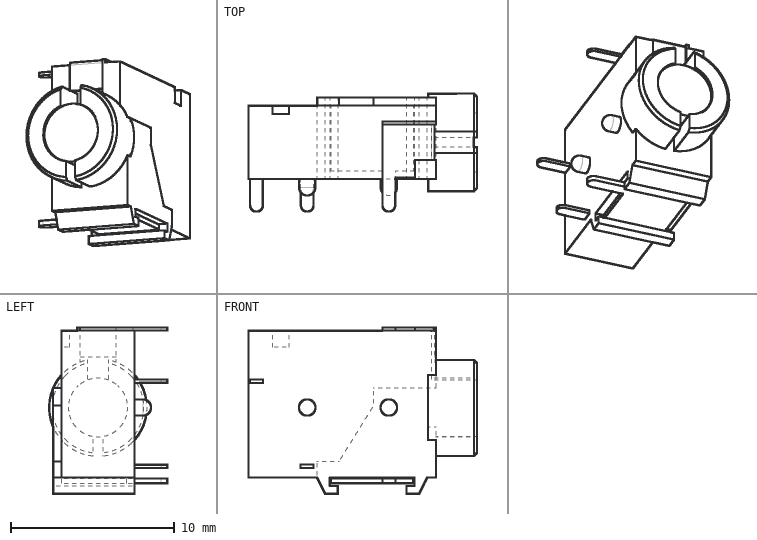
import cadquery as cq


HOUSING_LENGTH = 11.5
HOUSING_DEPTH = 4.5
HOUSING_HEIGHT = 9.0
AXIS_HEIGHT = 4.3
FRONT_Y = -HOUSING_DEPTH / 2
BACK_Y = HOUSING_DEPTH / 2
BOTTOM_Z = -AXIS_HEIGHT
TOP_Z = BOTTOM_Z + HOUSING_HEIGHT

TOTAL_LENGTH = 14.0
BARREL_LENGTH = 3.0
BARREL_RADIUS = 3.0
BARREL_START_X = TOTAL_LENGTH - BARREL_LENGTH
RIM_CHAMFER = 0.2
CORE_RADIUS = 1.8
CORE_RECESS = 0.2
TOP_SLOT_WIDTH = 1.3
BOTTOM_SLOT_WIDTH = 0.59

BACK_PLATE_THICKNESS = 0.5
BACK_PLATE_START_X = 4.2
BACK_PLATE_LOW_HEIGHT = 1.0
BACK_PLATE_SLOPE_START_X = 5.55
BACK_PLATE_SLOPE_END_X = 7.67
BACK_PLATE_SLOPE_TOP = 4.42
BACK_PLATE_HEIGHT = 5.5

TOP_NOTCH_START_X = 1.48
TOP_NOTCH_WIDTH = 1.0
TOP_NOTCH_DEPTH = 0.5
TOP_NOTCH_HEIGHT = 1.0

HOOK_CENTRE_X = 7.57
HOOK_DROP = 1.0
HOOK_SLOT_HEIGHT = 0.5
HOOK_SLOT_HALF = 2.59
HOOK_LIP_HALF = 2.1
HOOK_ROOT_HALF = HOOK_CENTRE_X - BACK_PLATE_START_X
HOOK_TIP_HALF = 2.88

PRONG_WIDTH = 0.8
PRONG_LENGTH = 2.0
PRONG_THICKNESS = 0.21
PRONG_TIP_Y = FRONT_Y - PRONG_LENGTH
END_PRONG_X = 0.49
END_PRONG_HEIGHT = 5.81
PEG_X = 3.6
PEG_PITCH = 5.0
PEG_RADIUS = 0.5
PEG_STRAIGHT = 0.5
LOW_PRONG_HEIGHT = 0.59
CONTACT_PRONG_X = PEG_X + PEG_PITCH

RIB_HEIGHT = 0.21
RIB_WIDTH = 0.18
UPPER_THICKNESS = 0.2
UPPER_TOP_Z = TOP_Z + RIB_HEIGHT
UPPER_START_X = CONTACT_PRONG_X - PRONG_WIDTH / 2
UPPER_HALF_WIDTH = 1.09
UPPER_END_X = 11.41
UPPER_STEP_X = 10.19
UPPER_STEP_Y = -2.15
LEG_LENGTH = 1.8
BEND_RADIUS = UPPER_THICKNESS

LOWER_LENGTH = 5.04
LOWER_THICKNESS = 0.31
LOWER_SETBACK = 0.5
LOWER_GAP = 0.04


def box(x_range, y_range, z_range):
    """Box between the given limits."""
    size = [high - low for low, high in (x_range, y_range, z_range)]
    corner = cq.Vector(x_range[0], y_range[0], z_range[0])
    return cq.Workplane(cq.Solid.makeBox(*size, corner))


def prong(centre_x, start_y, bottom_z, thickness):
    """Flat prong with a round tip, running from start_y to the common tip line."""
    radius = PRONG_WIDTH / 2
    shoulder_y = PRONG_TIP_Y + radius
    return (
        cq.Workplane("XY", origin=(0, 0, bottom_z))
        .moveTo(centre_x - radius, start_y)
        .lineTo(centre_x - radius, shoulder_y)
        .threePointArc((centre_x, PRONG_TIP_Y), (centre_x + radius, shoulder_y))
        .lineTo(centre_x + radius, start_y)
        .close()
        .extrude(thickness)
    )


def peg(centre_x):
    """Round locating peg with a hemispherical end."""
    shoulder_y = FRONT_Y - PEG_STRAIGHT
    shaft = cq.Workplane("XZ", origin=(centre_x, FRONT_Y, 0)).circle(PEG_RADIUS).extrude(PEG_STRAIGHT)
    tip = cq.Workplane("XY", origin=(centre_x, shoulder_y, 0)).sphere(PEG_RADIUS)
    return shaft.union(tip)


def barrel():
    """Chamfered barrel with a solid core; slots at +Z and -Z run along it down to the core."""
    start = cq.Workplane("YZ", origin=(BARREL_START_X, 0, 0))
    shell = start.circle(BARREL_RADIUS).extrude(BARREL_LENGTH).faces(">X").chamfer(RIM_CHAMFER)
    bore = start.circle(CORE_RADIUS).extrude(BARREL_LENGTH)
    core = start.circle(CORE_RADIUS).extrude(BARREL_LENGTH - CORE_RECESS)
    x_range = (BARREL_START_X, TOTAL_LENGTH)
    top_slot = box(x_range, (-TOP_SLOT_WIDTH / 2, TOP_SLOT_WIDTH / 2), (0, BARREL_RADIUS))
    bottom_slot = box(x_range, (-BOTTOM_SLOT_WIDTH / 2, BOTTOM_SLOT_WIDTH / 2), (-BARREL_RADIUS, 0))
    return shell.cut(bore).cut(top_slot).cut(bottom_slot).union(core)


def back_plate():
    """Raised plate on the +Y face, with a sloping edge towards the closed end."""
    outline = [
        (BACK_PLATE_START_X, BOTTOM_Z),
        (BACK_PLATE_START_X, BOTTOM_Z + BACK_PLATE_LOW_HEIGHT),
        (BACK_PLATE_SLOPE_START_X, BOTTOM_Z + BACK_PLATE_LOW_HEIGHT),
        (BACK_PLATE_SLOPE_END_X, BOTTOM_Z + BACK_PLATE_SLOPE_TOP),
        (BACK_PLATE_SLOPE_END_X, BOTTOM_Z + BACK_PLATE_HEIGHT),
        (HOUSING_LENGTH, BOTTOM_Z + BACK_PLATE_HEIGHT),
        (HOUSING_LENGTH, BOTTOM_Z),
    ]
    return cq.Workplane("XZ", origin=(0, BACK_Y, 0)).polyline(outline).close().extrude(-BACK_PLATE_THICKNESS)


def hook(side):
    """Hook under the housing; side is -1 towards the closed end and 1 towards the barrel."""
    outline = [
        (HOOK_ROOT_HALF, 0),
        (HOOK_TIP_HALF, -HOOK_DROP),
        (HOOK_LIP_HALF, -HOOK_DROP),
        (HOOK_LIP_HALF, -HOOK_SLOT_HEIGHT),
        (HOOK_SLOT_HALF, -HOOK_SLOT_HEIGHT),
        (HOOK_SLOT_HALF, 0),
    ]
    return (
        cq.Workplane("XZ", origin=(HOOK_CENTRE_X, FRONT_Y, BOTTOM_Z))
        .polyline([(side * x, z) for x, z in outline])
        .close()
        .extrude(-(HOUSING_DEPTH + BACK_PLATE_THICKNESS))
    )


def make_housing():
    """Housing block with its barrel, hooks, pegs and two fixed prongs."""
    body = box((0, HOUSING_LENGTH), (FRONT_Y, BACK_Y), (BOTTOM_Z, TOP_Z))
    top_notch = box(
        (TOP_NOTCH_START_X, TOP_NOTCH_START_X + TOP_NOTCH_WIDTH),
        (BACK_Y - TOP_NOTCH_DEPTH, BACK_Y),
        (TOP_Z - TOP_NOTCH_HEIGHT, TOP_Z),
    )
    leg_pocket = box(
        (UPPER_END_X - UPPER_THICKNESS, HOUSING_LENGTH),
        (-UPPER_HALF_WIDTH, UPPER_HALF_WIDTH),
        (0, TOP_Z),
    )
    rib = box(
        (UPPER_START_X, HOUSING_LENGTH),
        (UPPER_HALF_WIDTH, UPPER_HALF_WIDTH + RIB_WIDTH),
        (TOP_Z, UPPER_TOP_Z),
    )
    barrel_relief = box(
        (BARREL_START_X, HOUSING_LENGTH),
        (BACK_Y, BACK_Y + BACK_PLATE_THICKNESS),
        (BOTTOM_Z + BACK_PLATE_HEIGHT, BARREL_RADIUS),
    )
    body = body.cut(top_notch).cut(leg_pocket)
    for addition in (barrel().cut(barrel_relief), back_plate(), rib):
        body = body.union(addition)
    for side in (-1, 1):
        body = body.union(hook(side))
    for peg_x in (PEG_X, PEG_X + PEG_PITCH):
        body = body.union(peg(peg_x))
    for prong_x, height in ((END_PRONG_X, END_PRONG_HEIGHT), (PEG_X, LOW_PRONG_HEIGHT)):
        body = body.union(prong(prong_x, FRONT_Y, BOTTOM_Z + height, PRONG_THICKNESS))
    return body


def make_upper_contact():
    """Sheet contact on top of the housing, with a prong and a leg bent down at the +X end."""
    bottom_z = UPPER_TOP_Z - UPPER_THICKNESS
    plate = box((UPPER_START_X, UPPER_END_X), (-UPPER_HALF_WIDTH, UPPER_HALF_WIDTH), (bottom_z, UPPER_TOP_Z))
    leg = box(
        (UPPER_END_X - UPPER_THICKNESS, UPPER_END_X),
        (-UPPER_HALF_WIDTH, UPPER_HALF_WIDTH),
        (UPPER_TOP_Z - LEG_LENGTH, UPPER_TOP_Z),
    )
    bent_plate = plate.union(leg).edges(">X and >Z").fillet(BEND_RADIUS)
    step = box((UPPER_START_X, UPPER_STEP_X), (UPPER_STEP_Y, -UPPER_HALF_WIDTH), (bottom_z, UPPER_TOP_Z))
    return bent_plate.union(step).union(prong(CONTACT_PRONG_X, UPPER_STEP_Y, bottom_z, UPPER_THICKNESS))


def make_lower_contact():
    """Sheet contact held between the hooks, with a prong on its -Y edge."""
    top_z = BOTTOM_Z - LOWER_GAP
    bottom_z = top_z - LOWER_THICKNESS
    half_length = LOWER_LENGTH / 2
    plate_front_y = FRONT_Y + LOWER_SETBACK
    plate = box(
        (HOOK_CENTRE_X - half_length, HOOK_CENTRE_X + half_length),
        (plate_front_y, BACK_Y),
        (bottom_z, top_z),
    )
    return plate.union(prong(CONTACT_PRONG_X, plate_front_y, bottom_z, LOWER_THICKNESS))


housing = make_housing().solids()
upper_contact = make_upper_contact().solids()
lower_contact = make_lower_contact().solids()

result = cq.Compound.makeCompound([housing.val(), upper_contact.val(), lower_contact.val()])